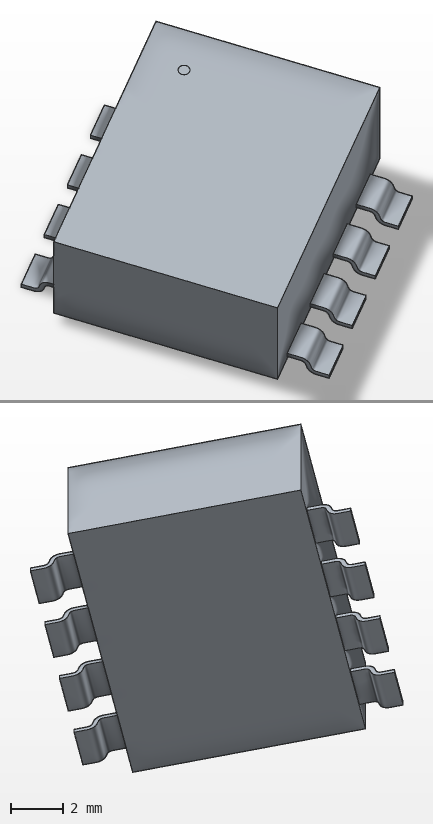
import cadquery as cq
import math

OVERALL_LENGTH_X = 12.6
OVERALL_HEIGHT = 5.01

HOUSING_SIZE_X = 9.16
HOUSING_SIZE_Y = 11.3
STANDOFF = 0.47
HOUSING_HEIGHT = OVERALL_HEIGHT - STANDOFF

MARK_DIAMETER = 0.45
MARK_DEPTH = 0.06
MARK_INSET = 1.83
MARK_X = -HOUSING_SIZE_X / 2 + MARK_INSET
MARK_Y = HOUSING_SIZE_Y / 2 - MARK_INSET

LEADS_PER_SIDE = 4
LEAD_PITCH = 2.55
LEAD_WIDTH = 1.55
LEAD_THICKNESS = 0.2
LEAD_HEIGHT = 0.81
FOOT_LENGTH = 0.52
INNER_RADIUS = 0.21
OUTER_RADIUS = INNER_RADIUS + LEAD_THICKNESS
BEND_ANGLE = 73.0


def make_mark():
    return (
        cq.Workplane("XY", origin=(MARK_X, MARK_Y, OVERALL_HEIGHT - MARK_DEPTH))
        .circle(MARK_DIAMETER / 2)
        .extrude(MARK_DEPTH)
    )


def make_housing(mark):
    block = (
        cq.Workplane("XY", origin=(0, 0, STANDOFF))
        .rect(HOUSING_SIZE_X, HOUSING_SIZE_Y)
        .extrude(HOUSING_HEIGHT)
    )
    return block.cut(mark)


def polar_point(center, radius, degrees):
    angle = math.radians(degrees)
    return (center[0] + radius * math.cos(angle), center[1] + radius * math.sin(angle))


def make_lead(y_center):
    """A -X side lead that bends down from its shoulder, butted to the wall, to its foot."""
    toe_x = -OVERALL_LENGTH_X / 2
    wall_x = -HOUSING_SIZE_X / 2
    slope = math.radians(BEND_ANGLE)

    bend_radii = INNER_RADIUS + OUTER_RADIUS
    leg_rise = LEAD_HEIGHT - LEAD_THICKNESS - bend_radii * (1 - math.cos(slope))
    bend_run = bend_radii * math.sin(slope) + leg_rise / math.tan(slope)
    lower_center = (toe_x + FOOT_LENGTH, OUTER_RADIUS)
    upper_center = (lower_center[0] + bend_run, LEAD_HEIGHT - OUTER_RADIUS)

    lower_start = -90
    lower_middle = lower_start + BEND_ANGLE / 2
    lower_end = lower_start + BEND_ANGLE
    upper_end = 90
    upper_middle = upper_end + BEND_ANGLE / 2
    upper_start = upper_end + BEND_ANGLE

    profile = (
        cq.Workplane("XZ", origin=(0, y_center, 0))
        .moveTo(toe_x, 0)
        .lineTo(*polar_point(lower_center, OUTER_RADIUS, lower_start))
        .threePointArc(
            polar_point(lower_center, OUTER_RADIUS, lower_middle),
            polar_point(lower_center, OUTER_RADIUS, lower_end),
        )
        .lineTo(*polar_point(upper_center, INNER_RADIUS, upper_start))
        .threePointArc(
            polar_point(upper_center, INNER_RADIUS, upper_middle),
            polar_point(upper_center, INNER_RADIUS, upper_end),
        )
        .lineTo(wall_x, LEAD_HEIGHT - LEAD_THICKNESS)
        .lineTo(wall_x, LEAD_HEIGHT)
        .lineTo(*polar_point(upper_center, OUTER_RADIUS, upper_end))
        .threePointArc(
            polar_point(upper_center, OUTER_RADIUS, upper_middle),
            polar_point(upper_center, OUTER_RADIUS, upper_start),
        )
        .lineTo(*polar_point(lower_center, INNER_RADIUS, lower_end))
        .threePointArc(
            polar_point(lower_center, INNER_RADIUS, lower_middle),
            polar_point(lower_center, INNER_RADIUS, lower_start),
        )
        .lineTo(toe_x, LEAD_THICKNESS)
        .close()
    )
    return profile.extrude(LEAD_WIDTH / 2, both=True)


def make_leads():
    leads = []
    for index in range(LEADS_PER_SIDE):
        y_center = (index - (LEADS_PER_SIDE - 1) / 2) * LEAD_PITCH
        lead = make_lead(y_center)
        leads.append(lead.val())
        leads.append(lead.mirror("YZ").val())
    return leads


pin_one_mark = make_mark()
housing = make_housing(pin_one_mark)
leads = make_leads()

result = cq.Compound.makeCompound([housing.val(), pin_one_mark.val(), *leads])